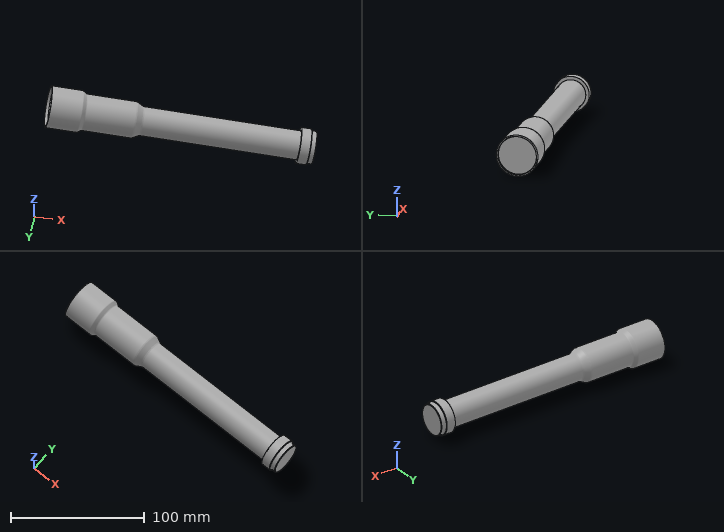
import cadquery as cq

length = 202.5

socket_radius = 16.0
sleeve_radius = 14.0
tube_radius = 11.1
collar_radius = 13.8
spigot_radius = 12.5
recess_radius = 14.8

socket_end = 24.0
sleeve_start = 27.1
sleeve_end = 65.5
tube_start = 70.9
collar_start = 190.5
collar_end = 198.5

recess_depth = 2.5
socket_blend = 1.2
tube_blend = 2.5
edge_chamfer = 0.5
step_fillet = 0.5


def circle_edges_at(x, radius):
    """Select the circular edge of the given radius centred on the axis at x."""
    margin = 0.02
    return cq.selectors.BoxSelector(
        (x - margin, -radius - margin, -radius - margin),
        (x + margin, radius + margin, radius + margin),
        boundingbox=True,
    )


outline = [
    (0, 0),
    (0, socket_radius),
    (socket_end, socket_radius),
    (sleeve_start, sleeve_radius),
    (sleeve_end, sleeve_radius),
    (tube_start, tube_radius),
    (collar_start, tube_radius),
    (collar_start, collar_radius),
    (collar_end, collar_radius),
    (collar_end, spigot_radius),
    (length, spigot_radius),
    (length, 0),
]
body = cq.Workplane("XZ").polyline(outline).close().revolve(360, (0, 0, 0), (1, 0, 0))

taper_corners = [
    (socket_end, socket_radius, socket_blend),
    (sleeve_start, sleeve_radius, socket_blend),
    (sleeve_end, sleeve_radius, tube_blend),
    (tube_start, tube_radius, tube_blend),
]
for x, radius, blend in taper_corners:
    body = body.edges(circle_edges_at(x, radius)).fillet(blend)

body = body.edges(circle_edges_at(collar_end, spigot_radius)).fillet(step_fillet)
for x, radius in [(collar_end, collar_radius), (length, spigot_radius)]:
    body = body.edges(circle_edges_at(x, radius)).chamfer(edge_chamfer)

recess = cq.Workplane("YZ").circle(recess_radius).extrude(recess_depth)
result = body.cut(recess)